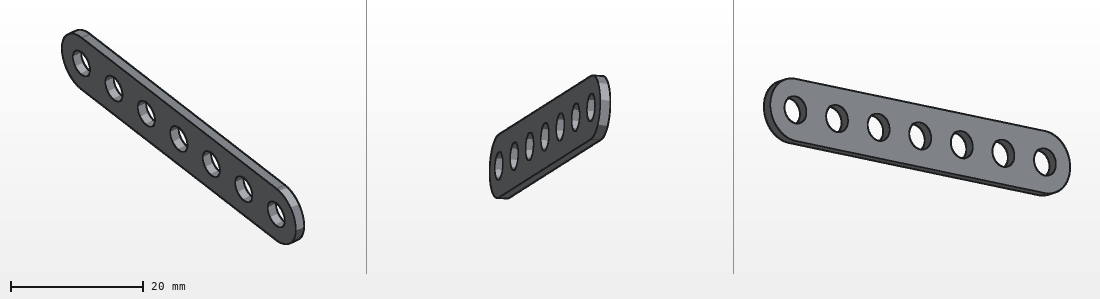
import cadquery as cq

hole_count = 7
hole_pitch = 8.0
hole_diameter = 4.2
strip_width = 9.7
thickness = 1.6

hole_span = (hole_count - 1) * hole_pitch
strip_length = hole_span + strip_width


def extrude_through_thickness(sketch):
    """Extrude an XZ sketch along Y, centred on the XZ plane."""
    return sketch.extrude(thickness).translate((0, thickness / 2, 0))


def make_strip():
    """Flat strip with full-round ends, standing upright and centred on the origin."""
    return extrude_through_thickness(cq.Workplane("XZ").slot2D(strip_length, strip_width))


def make_hole_row():
    """Cylinders along Y for the evenly spaced through holes."""
    hole_x = [index * hole_pitch - hole_span / 2 for index in range(hole_count)]
    centres = cq.Workplane("XZ").pushPoints([(x, 0) for x in hole_x])
    return extrude_through_thickness(centres.circle(hole_diameter / 2))


result = make_strip().cut(make_hole_row())